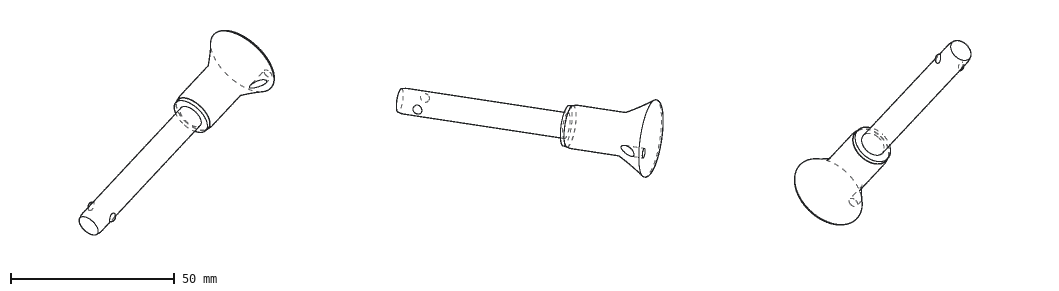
import cadquery as cq
import math

length = 80.7
head_diameter = 24.0
body_diameter = 13.5
collar_diameter = 12.6
shank_diameter = 8.0

rim_thickness = 0.7
rim_round = 0.65
flare_depth = 9.1
flare_end_radius = 6.9
flare_sag = 0.2
blend_end_depth = 10.0

body_round_depth = 24.6
body_end_depth = 26.3
body_end_radius = 6.45
collar_depth = 27.5

tip_length = 1.9
tip_radius = 3.6

ball_radius = 1.6
ball_span = 9.7
ball_height = 6.85
hole_diameter = 3.0
hole_offset = 9.2


def tangent_arc_middle(wall_radius, end_radius, height):
    """Offset (radius, distance) halfway along an arc leaving a straight wall tangentially."""
    inset = wall_radius - end_radius
    arc_radius = (height**2 + inset**2) / (2 * inset)
    half_angle = math.asin(height / arc_radius) / 2
    middle_radius = wall_radius - arc_radius * (1 - math.cos(half_angle))
    return middle_radius, arc_radius * math.sin(half_angle)


def make_turned_pin():
    head_radius = head_diameter / 2
    body_radius = body_diameter / 2
    collar_radius = collar_diameter / 2
    shank_radius = shank_diameter / 2

    tip_mid_radius, tip_rise = tangent_arc_middle(shank_radius, tip_radius, tip_length)
    body_mid_radius, body_drop = tangent_arc_middle(
        body_radius, body_end_radius, body_end_depth - body_round_depth
    )
    blend_mid_radius, blend_rise = tangent_arc_middle(
        -body_radius, -flare_end_radius, blend_end_depth - flare_depth
    )

    rim_y = length - rim_thickness
    flare_end_y = length - flare_depth
    flare_angle = math.atan2(rim_y - flare_end_y, head_radius - flare_end_radius)
    flare_mid_radius = (head_radius + flare_end_radius) / 2 - flare_sag * math.sin(flare_angle)
    flare_mid_y = (rim_y + flare_end_y) / 2 + flare_sag * math.cos(flare_angle)

    profile = (
        cq.Workplane("XY")
        .moveTo(0, 0)
        .lineTo(tip_radius, 0)
        .threePointArc((tip_mid_radius, tip_length - tip_rise), (shank_radius, tip_length))
        .lineTo(shank_radius, length - collar_depth)
        .lineTo(collar_radius, length - collar_depth)
        .lineTo(collar_radius, length - body_end_depth)
        .lineTo(body_end_radius, length - body_end_depth)
        .threePointArc(
            (body_mid_radius, length - body_round_depth - body_drop),
            (body_radius, length - body_round_depth),
        )
        .lineTo(body_radius, length - blend_end_depth)
        .threePointArc(
            (-blend_mid_radius, length - blend_end_depth + blend_rise),
            (flare_end_radius, flare_end_y),
        )
        .threePointArc((flare_mid_radius, flare_mid_y), (head_radius, rim_y))
        .lineTo(head_radius, length)
        .lineTo(0, length)
        .close()
    )
    pin = profile.revolve(360, (0, 0, 0), (0, 1, 0))
    return pin.faces(">Y").edges().fillet(rim_round)


def add_locking_balls(pin):
    ball_offset = ball_span / 2 - ball_radius
    for side in (-1, 1):
        ball = cq.Workplane("XY").sphere(ball_radius).translate((side * ball_offset, ball_height, 0))
        pin = pin.union(ball)
    return pin


def cut_lanyard_hole(pin):
    hole = (
        cq.Workplane("XZ", origin=(0, length, 0))
        .center(hole_offset, 0)
        .circle(hole_diameter / 2)
        .extrude(flare_depth)
    )
    return pin.cut(hole)


result = cut_lanyard_hole(add_locking_balls(make_turned_pin()))